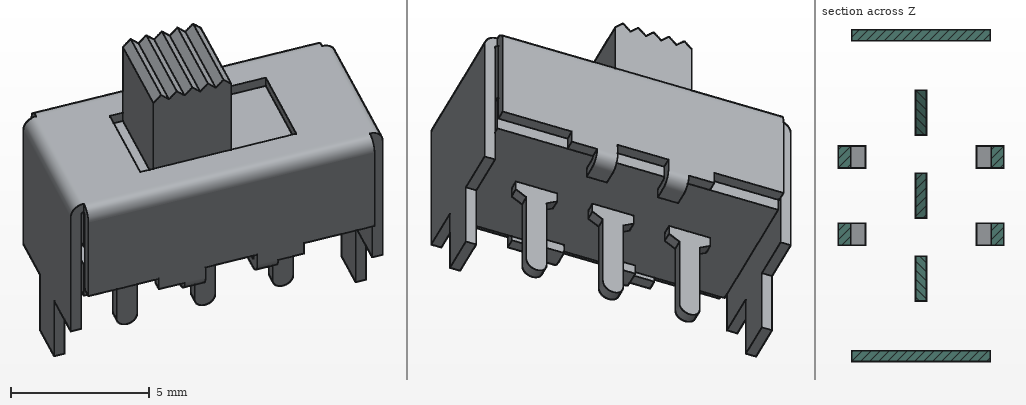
import cadquery as cq


COVER_WIDTH = 6.0
COVER_LENGTH = 12.0
PLATE_WIDTH = 5.0
SHEET = 0.4
BEND_RADIUS = (COVER_WIDTH - PLATE_WIDTH) / 2
PLATE_LENGTH = COVER_LENGTH - 2 * BEND_RADIUS
SIDE_WALL_BOTTOM = -4.09
TAB_BOTTOM = -4.6
TAB_WIDTH = 1.8
TAB_INNER_Y = 1.0
CURL_WIDTH = 0.8
LIP_LENGTH = 0.5
END_WALL_BOTTOM = -6.08
FOOT_BOTTOM = -8.79
FOOT_WIDTH = 1.5

KNOB_WIDTH = 3.21
KNOB_LENGTH = 3.0
KNOB_TOP = 3.5
KNOB_Y = -1.0
TOOTH_COUNT = 5
TOOTH_PITCH = KNOB_LENGTH / TOOTH_COUNT
TOOTH_HEIGHT = TOOTH_PITCH / 2
WINDOW_LENGTH = 6.0
CARRIAGE_LENGTH = 8.36

BASE_TOP = -2.97
BASE_BOTTOM = -4.5

TERMINAL_PITCH = 3.0
TERMINAL_COUNT = 3
TERMINAL_THICKNESS = 0.4
HEAD_WIDTH = 1.62
HEAD_CORNER = -4.89
NECK_TOP = -5.14
PIN_WIDTH = 0.8
PIN_BOTTOM = -8.62


def block(width, length, bottom, top, x=0, y=0):
    """Box centred on (x, y) that spans bottom to top in Z."""
    return cq.Workplane("XY").box(width, length, top - bottom, centered=(True, True, False)).translate(
        (x, y, bottom)
    )


def quarter_bend(length):
    """Quarter-round sheet bend along Y, centred on the origin, that turns from +Z to +X."""
    inner_radius = BEND_RADIUS - SHEET
    ring = cq.Workplane("XZ").circle(BEND_RADIUS).circle(inner_radius).extrude(length / 2, both=True)
    quadrant = block(BEND_RADIUS, length, 0, BEND_RADIUS, x=BEND_RADIUS / 2)
    return ring.intersect(quadrant)


def make_cover_side():
    """Long wall on the +X side: top bend, wall, two tabs and the lips curled under the base."""
    wall_x = (COVER_WIDTH - SHEET) / 2
    side = quarter_bend(PLATE_LENGTH).translate((PLATE_WIDTH / 2, 0, -BEND_RADIUS))
    side = side.union(block(SHEET, PLATE_LENGTH, SIDE_WALL_BOTTOM, -BEND_RADIUS, x=wall_x))
    lip = block(LIP_LENGTH, CURL_WIDTH, -BEND_RADIUS, SHEET - BEND_RADIUS, x=-LIP_LENGTH / 2)
    curl = quarter_bend(CURL_WIDTH).mirror("XY").union(lip)
    for sign in (1, -1):
        tab_y = sign * (TAB_INNER_Y + TAB_WIDTH / 2)
        curl_y = sign * (TAB_INNER_Y + CURL_WIDTH / 2)
        side = side.union(block(SHEET, TAB_WIDTH, TAB_BOTTOM, SIDE_WALL_BOTTOM, x=wall_x, y=tab_y))
        side = side.union(curl.translate((PLATE_WIDTH / 2, curl_y, TAB_BOTTOM)))
    return side


def make_cover_end():
    """Short wall on the +Y side: top bend, wall and mounting foot."""
    wall_y = (COVER_LENGTH - SHEET) / 2
    bend = quarter_bend(PLATE_WIDTH).rotate((0, 0, 0), (0, 0, 1), 90)
    end = bend.translate((0, PLATE_LENGTH / 2, -BEND_RADIUS))
    end = end.union(block(PLATE_WIDTH, SHEET, END_WALL_BOTTOM, -BEND_RADIUS, y=wall_y))
    return end.union(block(FOOT_WIDTH, SHEET, FOOT_BOTTOM, END_WALL_BOTTOM, y=wall_y))


def make_cover():
    """Windowed top plate with two folded sides and two folded ends."""
    window = block(KNOB_WIDTH, WINDOW_LENGTH, -SHEET, 0)
    cover = block(PLATE_WIDTH, PLATE_LENGTH, -SHEET, 0).cut(window)
    side = make_cover_side()
    end = make_cover_end()
    for wall in (side, side.mirror("YZ"), end, end.mirror("XZ")):
        cover = cover.union(wall)
    return cover


def make_slider():
    """Knob with a toothed grip on top of a carriage that rides between cover and base."""
    start_y = KNOB_Y - KNOB_LENGTH / 2
    valley_z = KNOB_TOP - TOOTH_HEIGHT
    grip = [(start_y, -SHEET), (start_y, valley_z)]
    for tooth in range(TOOTH_COUNT):
        tooth_y = start_y + tooth * TOOTH_PITCH
        grip.append((tooth_y + TOOTH_PITCH / 2, KNOB_TOP))
        grip.append((tooth_y + TOOTH_PITCH, valley_z))
    grip.append((start_y + KNOB_LENGTH, -SHEET))
    knob = cq.Workplane("YZ").polyline(grip).close().extrude(KNOB_WIDTH / 2, both=True)
    return knob.union(block(KNOB_WIDTH, CARRIAGE_LENGTH, BASE_TOP, -SHEET, y=KNOB_Y))


def make_base():
    """Plain insulating block that carries the terminals."""
    return block(PLATE_WIDTH, PLATE_LENGTH, BASE_BOTTOM, BASE_TOP)


def make_terminal(y):
    """Flat pin with a wide tapered head and a round tip, standing under the base."""
    half_head = HEAD_WIDTH / 2
    half_pin = PIN_WIDTH / 2
    tip_centre = PIN_BOTTOM + half_pin
    outline = (
        cq.Workplane("YZ")
        .moveTo(-half_head, BASE_BOTTOM)
        .lineTo(-half_head, HEAD_CORNER)
        .lineTo(-half_pin, NECK_TOP)
        .lineTo(-half_pin, tip_centre)
        .threePointArc((0, PIN_BOTTOM), (half_pin, tip_centre))
        .lineTo(half_pin, NECK_TOP)
        .lineTo(half_head, HEAD_CORNER)
        .lineTo(half_head, BASE_BOTTOM)
        .close()
    )
    return outline.extrude(TERMINAL_THICKNESS / 2, both=True).translate((0, y, 0))


cover = make_cover()
slider = make_slider()
base = make_base()
terminals = []
for index in range(TERMINAL_COUNT):
    terminal_y = (index - (TERMINAL_COUNT - 1) / 2) * TERMINAL_PITCH
    terminals.append(make_terminal(terminal_y).val())

result = cq.Compound.makeCompound([cover.val(), slider.val(), base.val(), *terminals])